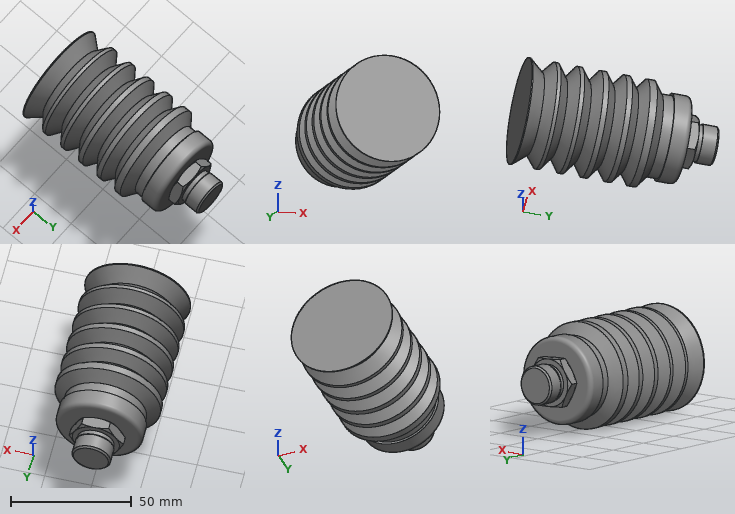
import cadquery as cq


bellows_diameter = 45.0
lip_rim_length = 0.5
first_valley = 6.5
fold_pitch = 10.0
folds = [
    (35.0, 4.3, 1.55),
    (34.0, 4.1, 1.8),
    (34.5, 3.9, 2.3),
    (35.0, 3.95, 2.3),
    (35.5, 3.7, 3.1),
]

neck_diameter = 35.0
neck_start = 57.1
cap_diameter = 37.0
cap_start = 61.6
cap_end = 69.45
cap_edge_radius = 2.0

hex_across_flats = 20.0
hex_length = 4.85
hex_turn = 32.9
hex_chamfer_face_diameter = 20.0
hex_chamfer_length = 0.9
hex_chamfer_depth = 1.7
hex_end = cap_end + hex_length

stub_diameter = 16.4
stub_chamfer = 0.75
relief_diameter = 15.5
relief_length = 2.1
total_length = 83.22


def disc(diameter, start, end):
    """Cylinder on the Y axis from start to end."""
    plane = cq.Plane(origin=(0, start, 0), xDir=(1, 0, 0), normal=(0, 1, 0))
    return cq.Workplane(plane).circle(diameter / 2).extrude(end - start)


def make_bellows():
    """Revolved fold profile from the lip face to the top of the neck."""
    outer = bellows_diameter / 2
    outline = [(0, 0), (outer, 0), (outer, lip_rim_length)]
    for index, (valley_diameter, flank_length, ridge_length) in enumerate(folds):
        valley = first_valley + index * fold_pitch
        ridge_start = valley + flank_length
        outline.append((valley_diameter / 2, valley))
        outline.append((outer, ridge_start))
        outline.append((outer, ridge_start + ridge_length))
    outline.append((neck_diameter / 2, neck_start))
    outline.append((neck_diameter / 2, cap_start))
    outline.append((0, cap_start))
    profile = cq.Workplane("XY").polyline(outline).close()
    return profile.revolve(360, (0, 0, 0), (0, 1, 0))


def make_cap():
    """Disc with a rounded edge on its hexagon side."""
    return disc(cap_diameter, cap_start, cap_end).faces(">Y").edges().fillet(cap_edge_radius)


def make_hexagon():
    """Hexagon with its corners turned down conically at both ends."""
    plane = cq.Plane(origin=(0, cap_end, 0), xDir=(1, 0, 0), normal=(0, 1, 0))
    prism = cq.Workplane(plane).polygon(6, hex_across_flats, circumscribed=True).extrude(hex_length)
    prism = prism.rotate((0, 0, 0), (0, 1, 0), hex_turn)

    face_radius = hex_chamfer_face_diameter / 2
    blank_radius = face_radius + hex_chamfer_depth
    outline = [
        (0, cap_end),
        (face_radius, cap_end),
        (blank_radius, cap_end + hex_chamfer_length),
        (blank_radius, hex_end - hex_chamfer_length),
        (face_radius, hex_end),
        (0, hex_end),
    ]
    blank = cq.Workplane("XY").polyline(outline).close().revolve(360, (0, 0, 0), (0, 1, 0))
    return prism.intersect(blank)


def make_stub():
    """Connecting stub with a relief groove next to the hexagon and a chamfered tip."""
    relief_end = hex_end + relief_length
    relief = disc(relief_diameter, hex_end, relief_end)
    stub = disc(stub_diameter, relief_end, total_length).faces(">Y").edges().chamfer(stub_chamfer)
    return relief.union(stub)


result = make_bellows().union(make_cap()).union(make_hexagon()).union(make_stub())